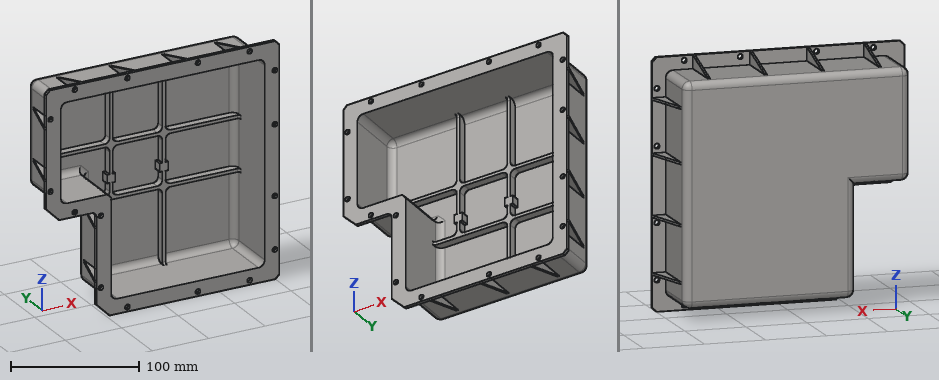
import cadquery as cq

WIDTH = 206.6
DEPTH = 50.5
HEIGHT = 203.1
STEP_X = 44.6
STEP_Z = 90.7
FLANGE_THICKNESS = 2.9
SMALL_CHAMFER = 3.5
LARGE_CHAMFER = 11.5
NOTCH_FILLET = 4.5

FLANGE_OVERHANG = 11.0
WALL = 2.0
OUTER_RADIUS = 6.2
INNER_RADIUS = 5.5
NOTCH_EDGE_CHAMFER = 3.3

HOLE_DIAMETER = 4.1
HOLE_INSET = 4.0
TOP_HOLES_X = (25.5, 72.1, 134.5, 180.4)
BOTTOM_HOLES_X = TOP_HOLES_X[1:]
NOTCH_ROOF_HOLES_X = TOP_HOLES_X[:1]
RIGHT_HOLES_Z = (25.5, 71.0, 132.2, 178.3)
LEFT_HOLES_Z = (116.7, RIGHT_HOLES_Z[3])
NOTCH_SIDE_HOLES_Z = (RIGHT_HOLES_Z[0], 86.8)

RIB_WIDTH = 2.9
RIB_HEIGHT = 7.0
RIB_LEFT_X = 80.0
RIB_RIGHT_X = 126.7
RIB_LOW_Z = 79.1
RIB_HIGH_Z = 124.8
CROSSING_FILLET = 4.5
RIB_END_FILLET = 2.0
PAD_SIZE = 7.5
PAD_Z = 95.9

GUSSET_WIDTH = 1.9
GUSSET_TOP_Y = 41.3
GUSSETS_X = (32.5, 79.1, 125.8, 172.5)
GUSSETS_Z = (30.5, 76.5, 126.0, 170.3)

INNER_INSET = FLANGE_OVERHANG + WALL
FLOOR_Y = DEPTH - WALL
RIB_TOP_Y = FLOOR_Y - RIB_HEIGHT
TOLERANCE = 0.02


def outline(inset):
    """Corners of the L shape, moved inwards by inset; the last one is the notch corner."""
    left, right = inset, WIDTH - inset
    bottom, top = inset, HEIGHT - inset
    notch_x, notch_z = STEP_X + inset, STEP_Z + inset
    return [
        (left, notch_z),
        (left, top),
        (right, top),
        (right, bottom),
        (notch_x, bottom),
        (notch_x, notch_z),
    ]


def l_prism(inset, front, back):
    """L-shaped prism between the planes Y = front and Y = back."""
    plane = cq.Workplane("XZ", origin=(0, front, 0))
    return plane.polyline(outline(inset)).close().extrude(front - back)


def edges_at(solid, points):
    """Edges parallel to Y that pass through the given (x, z) points."""
    def is_wanted(edge):
        centre = edge.Center()
        return any(abs(centre.x - x) < TOLERANCE and abs(centre.z - z) < TOLERANCE for x, z in points)

    return solid.edges("|Y").filter(is_wanted)


def round_off(prism, inset, radius):
    """Round the five outer corners and the back of an L-shaped prism; the notch corner is left as it is."""
    prism = edges_at(prism, outline(inset)[:-1]).fillet(radius)
    return prism.faces(">Y").edges().fillet(radius)


def make_shell():
    return round_off(l_prism(FLANGE_OVERHANG, 0, DEPTH), FLANGE_OVERHANG, OUTER_RADIUS)


def make_cavity():
    cavity = l_prism(INNER_INSET, 0, FLOOR_Y)
    notch_corner = outline(INNER_INSET)[-1]
    cavity = edges_at(cavity, [notch_corner]).chamfer(NOTCH_EDGE_CHAMFER)
    return round_off(cavity, INNER_INSET, INNER_RADIUS)


def make_flange():
    flange = l_prism(0, 0, FLANGE_THICKNESS)
    notch_top, top_left, top_right, low_right, notch_bottom, notch = outline(0)
    flange = edges_at(flange, [top_left, top_right, low_right]).chamfer(SMALL_CHAMFER)
    flange = edges_at(flange, [notch_top, notch_bottom]).chamfer(LARGE_CHAMFER)
    return edges_at(flange, [notch]).fillet(NOTCH_FILLET)


def make_holes():
    points = [(x, HEIGHT - HOLE_INSET) for x in TOP_HOLES_X]
    points += [(x, HOLE_INSET) for x in BOTTOM_HOLES_X]
    points += [(x, STEP_Z + HOLE_INSET) for x in NOTCH_ROOF_HOLES_X]
    points += [(WIDTH - HOLE_INSET, z) for z in RIGHT_HOLES_Z]
    points += [(HOLE_INSET, z) for z in LEFT_HOLES_Z]
    points += [(STEP_X + HOLE_INSET, z) for z in NOTCH_SIDE_HOLES_Z]
    return cq.Workplane("XZ").pushPoints(points).circle(HOLE_DIAMETER / 2).extrude(-FLANGE_THICKNESS)


def floor_block(x_min, x_max, z_min, z_max):
    """Block standing on the pan floor, as high as the ribs."""
    size = (x_max - x_min, RIB_HEIGHT, z_max - z_min)
    return cq.Workplane("XY").box(*size, centered=False).translate((x_min, RIB_TOP_Y, z_min))


def make_ribs(cavity):
    half = RIB_WIDTH / 2
    ribs = floor_block(0, WIDTH, RIB_HIGH_Z - half, RIB_HIGH_Z + half)
    ribs = ribs.union(floor_block(STEP_X, WIDTH, RIB_LOW_Z - half, RIB_LOW_Z + half))
    ribs = ribs.union(floor_block(RIB_LEFT_X - half, RIB_LEFT_X + half, RIB_LOW_Z, HEIGHT))
    ribs = ribs.union(floor_block(RIB_RIGHT_X - half, RIB_RIGHT_X + half, 0, HEIGHT))

    crossing_corners = [
        (x + side_x * half, z + side_z * half)
        for x in (RIB_LEFT_X, RIB_RIGHT_X)
        for z in (RIB_LOW_Z, RIB_HIGH_Z)
        for side_x in (-1, 1)
        for side_z in (-1, 1)
    ]
    ribs = edges_at(ribs, crossing_corners).fillet(CROSSING_FILLET)

    half_pad = PAD_SIZE / 2
    for x in (RIB_LEFT_X, RIB_RIGHT_X):
        ribs = ribs.union(floor_block(x - half_pad, x + half_pad, PAD_Z - half_pad, PAD_Z + half_pad))
    return ribs.intersect(cavity)


def fillet_rib_ends(solid):
    """Blend the top of each rib into the wall it runs into."""
    def is_rib_end(edge):
        at_rib_top = abs(edge.Center().y - RIB_TOP_Y) < TOLERANCE
        return at_rib_top and abs(edge.Length() - RIB_WIDTH) < TOLERANCE

    return solid.edges("|X or |Z").filter(is_rib_end).fillet(RIB_END_FILLET)


def make_gusset(x, z, turn):
    """Gusset on the wall point (x, z); turn 0 points to -X, 90 to +Z, 180 to +X, 270 to -Z."""
    root = WALL / 2
    profile = [
        (-FLANGE_OVERHANG, FLANGE_THICKNESS),
        (root, FLANGE_THICKNESS),
        (root, GUSSET_TOP_Y),
        (0, GUSSET_TOP_Y),
    ]
    gusset = cq.Workplane("XY").polyline(profile).close().extrude(GUSSET_WIDTH / 2, both=True)
    return gusset.rotate((0, 0, 0), (0, 1, 0), turn).translate((x, 0, z))


def make_gussets():
    left, right = FLANGE_OVERHANG, WIDTH - FLANGE_OVERHANG
    bottom, top = FLANGE_OVERHANG, HEIGHT - FLANGE_OVERHANG
    notch_x, notch_z = outline(FLANGE_OVERHANG)[-1]
    places = [(left if z > notch_z else notch_x, z, 0) for z in GUSSETS_Z]
    places += [(x, top, 90) for x in GUSSETS_X]
    places += [(right, z, 180) for z in GUSSETS_Z]
    places += [(x, bottom, 270) for x in GUSSETS_X if x > notch_x]
    return [make_gusset(*place) for place in places]


cavity = make_cavity()
pan = make_flange().union(make_shell())
for gusset in make_gussets():
    pan = pan.union(gusset)
pan = pan.cut(cavity).cut(make_holes())
result = fillet_rib_ends(pan.union(make_ribs(cavity)))